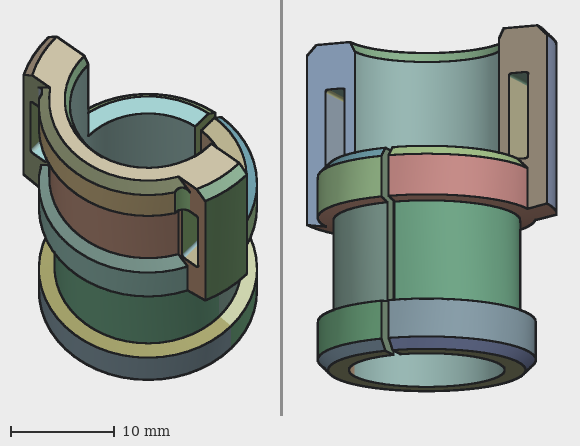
import cadquery as cq
import math

bore_radius = 7.5
groove_radius = 9.0
ring_radius = 10.5
neck_radius = 9.5
arm_radius = 12.5
total_height = 33.0
groove_bottom = 5.0
ring_bottom = 15.0
ring_top = 20.0
lip_bottom = 28.5
chamfer = 1.0
groove_wall_angle = math.radians(10)
groove_wall_slope = math.tan(groove_wall_angle)

mouth_radius = 8.0
mouth_depth = 1.0

arm_width = 5.0
window_inner_x = 8.55
window_outer_x = 10.55
window_corner_radius = 0.3
lip_corner_radius = 1.0

slit_width = 0.75


def revolve(points):
    """Turn an (r, z) outline around the Z axis."""
    return cq.Workplane("XZ").polyline(points).close().revolve(360, (0, 0), (0, 1))


def box(x_min, x_max, y_min, y_max, z_min, z_max):
    """Axis-aligned block between the given limits."""
    size = (x_max - x_min, y_max - y_min, z_max - z_min)
    return cq.Workplane("XY").box(*size, centered=False).translate((x_min, y_min, z_min))


def groove_roof(radius):
    """Height of the conical upper groove wall, which also forms the underside of the arms."""
    return ring_bottom + (radius - ring_radius) * groove_wall_slope


def make_sleeve():
    """Base flange, wide groove and split ring."""
    flange_edge = groove_bottom - (ring_radius - groove_radius) * groove_wall_slope
    return revolve([
        (0, 0),
        (ring_radius - chamfer, 0),
        (ring_radius, chamfer),
        (ring_radius, flange_edge),
        (groove_radius, groove_bottom),
        (groove_radius, groove_roof(groove_radius)),
        (ring_radius, ring_bottom),
        (ring_radius, ring_top - chamfer),
        (ring_radius - chamfer, ring_top),
        (0, ring_top),
    ])


def make_neck():
    """Front half of the thin wall above the ring."""
    neck = cq.Workplane("XY").workplane(offset=ring_top).circle(neck_radius)
    neck = neck.extrude(total_height - ring_top)
    return neck.intersect(box(-arm_radius, arm_radius, -arm_radius, 0, 0, total_height))


def make_arms():
    """Both arms, cut from one wide chamfered ring that starts inside the neck wall."""
    wide_ring = revolve([
        (groove_radius, groove_roof(groove_radius)),
        (arm_radius, groove_roof(arm_radius)),
        (arm_radius, total_height - chamfer),
        (arm_radius - chamfer, total_height),
        (groove_radius, total_height),
    ])
    return wide_ring.intersect(box(-arm_radius, arm_radius, -arm_width, 0, 0, total_height))


def make_lip():
    """Collar around the front of the neck, with rounded corners where it meets the arms."""
    corner_x = window_inner_x + lip_corner_radius
    corner_y = -arm_width - lip_corner_radius
    arc_offset = lip_corner_radius * math.sqrt(0.5)
    height = total_height - lip_bottom

    front = (
        cq.Workplane("XY").workplane(offset=lip_bottom)
        .moveTo(-corner_x, -arm_width)
        .lineTo(corner_x, -arm_width)
        .threePointArc((corner_x - arc_offset, corner_y + arc_offset), (window_inner_x, corner_y))
        .lineTo(window_inner_x, -arm_radius)
        .lineTo(-window_inner_x, -arm_radius)
        .lineTo(-window_inner_x, corner_y)
        .threePointArc((-corner_x + arc_offset, corner_y + arc_offset), (-corner_x, -arm_width))
        .close()
        .extrude(height)
    )
    collar = cq.Workplane("XY").workplane(offset=lip_bottom).circle(ring_radius).extrude(height)
    corners = front.intersect(box(-corner_x, corner_x, corner_y, -arm_width, lip_bottom, total_height))
    cone_base_radius = ring_radius + total_height - chamfer - lip_bottom
    cone = revolve([
        (0, lip_bottom),
        (cone_base_radius, lip_bottom),
        (ring_radius - chamfer, total_height),
        (0, total_height),
    ])
    return front.intersect(collar).union(corners).intersect(cone)


def make_bore():
    """Through bore with its tapered mouth."""
    return revolve([
        (0, 0),
        (bore_radius, 0),
        (bore_radius, total_height - mouth_depth),
        (mouth_radius, total_height),
        (0, total_height),
    ])


def make_window(side):
    """Rounded window through the arm on the given side (-1 or 1)."""
    x_min, x_max = sorted((side * window_inner_x, side * window_outer_x))
    window = box(x_min, x_max, -arm_width, 0, ring_top, lip_bottom)
    return window.edges("|Y").fillet(window_corner_radius)


def make_slit():
    """Narrow slit through the back wall over the full height."""
    return box(-slit_width / 2, slit_width / 2, 0, arm_radius, 0, total_height)


body = make_sleeve().union(make_arms()).union(make_neck()).union(make_lip())
body = body.cut(make_bore()).cut(make_slit())
for side in (-1, 1):
    body = body.cut(make_window(side))

result = body